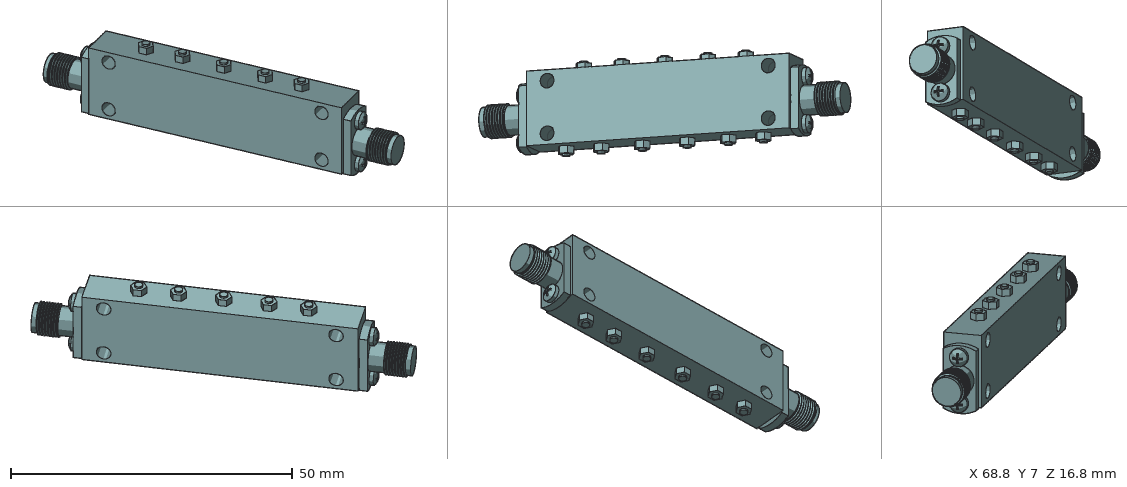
import cadquery as cq
import math

TOTAL_LENGTH = 68.8
TOTAL_HEIGHT = 16.8
BODY_LENGTH = 50.0
BODY_DEPTH = 7.0
BODY_HEIGHT = 13.5

MOUNT_HOLE_DIAMETER = 2.6
MOUNT_HOLE_X = 21.05
MOUNT_HOLE_Z = 4.75

NUT_FLATS = 2.55
NUT_HEIGHT = 1.3
STUD_DIAMETER = 1.45
STUD_HEIGHT = (TOTAL_HEIGHT - BODY_HEIGHT) / 2
TOP_SCREW_X = (-15.4, -8.2, 0.0, 8.2, 15.4)
BOTTOM_SCREW_X = (-18.8, -12.1, -4.3, 4.3, 12.1, 18.8)

CONNECTOR_Z = -1.3
FLANGE_GAP = 0.15
FLANGE_THICKNESS = 1.5
FLANGE_FRONT = FLANGE_GAP + FLANGE_THICKNESS
FLANGE_WIDTH = 6.1
FLANGE_RADIUS = 6.3
BARREL_RADIUS = 2.7
THREAD_RADIUS = 3.0
THREAD_LENGTH = 4.0
THREAD_PITCH = 0.515
THREAD_ROOT_WIDTH = 0.5
THREAD_CREST_WIDTH = 0.1
TIP_LENGTH = 0.9
CONNECTOR_LENGTH = (TOTAL_LENGTH - BODY_LENGTH) / 2

HEAD_OFFSET = 4.3
HEAD_DIAMETER = 3.3
HEAD_RIM_HEIGHT = 0.75
HEAD_HEIGHT = 1.45
RECESS_LENGTH = 1.8
RECESS_WIDTH = 0.35
RECESS_DEPTH = 0.7

OVERLAP = 0.1


def make_body():
    """Rectangular housing with four mounting holes through its depth."""
    body = cq.Workplane("XY").box(BODY_LENGTH, BODY_DEPTH, BODY_HEIGHT)
    holes = (
        cq.Workplane("XZ")
        .rect(2 * MOUNT_HOLE_X, 2 * MOUNT_HOLE_Z, forConstruction=True)
        .vertices()
        .circle(MOUNT_HOLE_DIAMETER / 2)
        .extrude(BODY_DEPTH, both=True)
    )
    return body.cut(holes)


def make_tuning_screw(x, side):
    """Hex nut and stud on the top (side = 1) or bottom (side = -1) face."""
    nut_corners = NUT_FLATS / math.cos(math.radians(30))
    face = cq.Workplane("XY", origin=(x, 0, side * BODY_HEIGHT / 2))
    nut = face.polygon(6, nut_corners).extrude(side * NUT_HEIGHT)
    stud = face.circle(STUD_DIAMETER / 2).extrude(side * STUD_HEIGHT)
    return nut.union(stud)


def make_flange():
    """Disc trimmed by two parallel sides, held clear of the body end at z = 0."""
    back = cq.Workplane("XY", origin=(0, 0, FLANGE_GAP))
    disc = back.circle(FLANGE_RADIUS).extrude(FLANGE_THICKNESS)
    trim = back.rect(2 * FLANGE_RADIUS, FLANGE_WIDTH).extrude(FLANGE_THICKNESS)
    return disc.intersect(trim)


def make_thread(start):
    """Helical ridge of trapezoid section, trimmed to a band that begins at the given height."""
    root_radius = BARREL_RADIUS - OVERLAP
    helix_length = THREAD_LENGTH + 2 * THREAD_PITCH
    helix = cq.Wire.makeHelix(THREAD_PITCH, helix_length, root_radius)
    ridge = (
        cq.Workplane("XZ")
        .moveTo(root_radius, -THREAD_ROOT_WIDTH / 2)
        .lineTo(THREAD_RADIUS, -THREAD_CREST_WIDTH / 2)
        .lineTo(THREAD_RADIUS, THREAD_CREST_WIDTH / 2)
        .lineTo(root_radius, THREAD_ROOT_WIDTH / 2)
        .close()
        .sweep(cq.Workplane(obj=helix), isFrenet=True)
        .translate((0, 0, start - THREAD_PITCH))
    )
    band_base = cq.Workplane("XY", origin=(0, 0, start))
    band = band_base.circle(2 * THREAD_RADIUS).extrude(THREAD_LENGTH)
    return ridge.intersect(band)


def make_screw_head(offset):
    """Domed screw head with a cross recess, seated on the flange."""
    radius = HEAD_DIAMETER / 2
    dome_height = HEAD_HEIGHT - HEAD_RIM_HEIGHT
    dome_radius = (radius**2 + dome_height**2) / (2 * dome_height)
    half_angle = math.asin(radius / dome_radius) / 2
    arc_middle = (
        dome_radius * math.sin(half_angle),
        HEAD_HEIGHT - dome_radius * (1 - math.cos(half_angle)),
    )
    head = (
        cq.Workplane("XZ")
        .moveTo(0, -OVERLAP)
        .lineTo(radius, -OVERLAP)
        .lineTo(radius, HEAD_RIM_HEIGHT)
        .threePointArc(arc_middle, (0, HEAD_HEIGHT))
        .close()
        .revolve(360, (0, 0, 0), (0, 1, 0))
    )
    recess_floor = cq.Workplane("XY", origin=(0, 0, HEAD_HEIGHT - RECESS_DEPTH))
    for arm in ((RECESS_LENGTH, RECESS_WIDTH), (RECESS_WIDTH, RECESS_LENGTH)):
        head = head.cut(recess_floor.rect(*arm).extrude(RECESS_DEPTH))
    return head.translate((offset, 0, FLANGE_FRONT))


def make_connector():
    """Connector along +Z; the barrel reaches the body through the flange."""
    connector = make_flange()
    for offset in (HEAD_OFFSET, -HEAD_OFFSET):
        connector = connector.union(make_screw_head(offset))
    barrel = cq.Workplane("XY").circle(BARREL_RADIUS).extrude(CONNECTOR_LENGTH)
    thread_start = CONNECTOR_LENGTH - TIP_LENGTH - THREAD_LENGTH
    return connector.union(barrel).union(make_thread(thread_start))


def place_connector(connector, side):
    """Turn the connector to point along X and seat it on one body end."""
    turned = connector.rotate((0, 0, 0), (0, 1, 0), side * 90)
    return turned.translate((side * BODY_LENGTH / 2, 0, CONNECTOR_Z))


result = make_body()

for x in TOP_SCREW_X:
    result = result.union(make_tuning_screw(x, 1))

for x in BOTTOM_SCREW_X:
    result = result.union(make_tuning_screw(x, -1))

end_connector = make_connector()
for side in (1, -1):
    result = result.union(place_connector(end_connector, side))